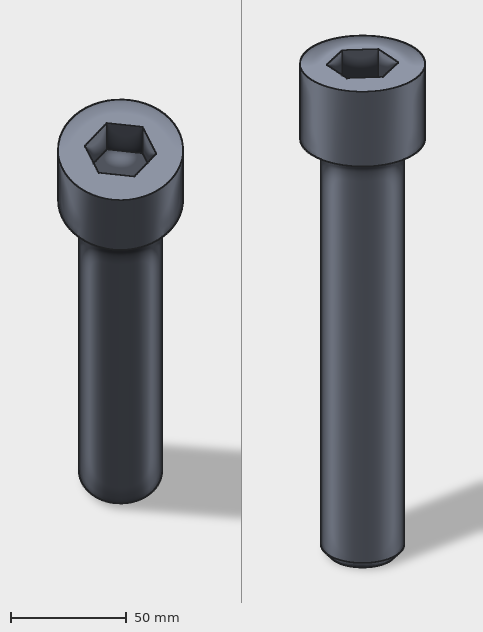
import cadquery as cq
import math

total_length = 236.0
head_diameter = 54.0
shank_diameter = 36.0
head_height = shank_diameter
shank_length = total_length - head_height
tip_chamfer_height = 4.0
tip_chamfer_width = 3.5
socket_across_flats = 27.0
socket_depth = 19.0


def make_shank():
    """Round shank with a chamfered tip."""
    shank = cq.Workplane("XY").circle(shank_diameter / 2).extrude(shank_length)
    return shank.faces("<Z").chamfer(tip_chamfer_height, tip_chamfer_width)


def make_head():
    """Plain cylindrical head on top of the shank."""
    head = cq.Workplane("XY").workplane(offset=shank_length)
    return head.circle(head_diameter / 2).extrude(head_height)


def make_socket():
    """Hexagonal key socket with two corners on the X axis."""
    across_corners = socket_across_flats / math.cos(math.pi / 6)
    socket = cq.Workplane("XY").workplane(offset=total_length)
    return socket.polygon(6, across_corners).extrude(-socket_depth)


result = make_shank().union(make_head()).cut(make_socket())